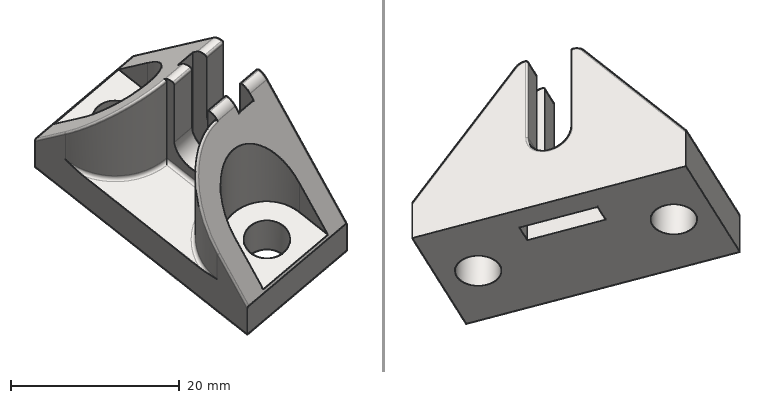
import cadquery as cq
import math

length = 35.0
width = 17.0
height = 22.98
end_height = 5.66
half_length = length / 2
half_width = width / 2

flank_angle = math.radians(51.8)
crest_half_length = half_length - (height - end_height) / math.tan(flank_angle)
crest_radius = 1.67
edge_radius = 0.25

hole_spacing = 25.0
hole_diameter = 5.5
seat_radius = 5.5
seat_floor = 6.0
hole_x = hole_spacing / 2

recess_floor = 6.0
recess_fillet = 0.5
boss_radius = half_width
web_half_width = hole_x - boss_radius

slot_width = 5.5
slot_center_z = 11.0
mouth_radius = 0.3

plate_slot_length = 10.0
plate_slot_width = 2.5
plate_slot_back_gap = 3.0

clearance = 1.0
tolerance = 0.01


def make_body():
    """Full-width block with two flanks rising to a narrow flat crest."""
    return (
        cq.Workplane("XZ", origin=(0, half_width, 0))
        .moveTo(-half_length, 0)
        .lineTo(half_length, 0)
        .lineTo(half_length, end_height)
        .lineTo(crest_half_length, height)
        .lineTo(-crest_half_length, height)
        .lineTo(-half_length, end_height)
        .close()
        .extrude(width)
    )


def make_front_recess():
    """Cutter bounded by the web face and the round outsides of the seat walls."""
    diagonal = boss_radius * math.sqrt(0.5)
    front_y = -half_width - clearance
    cutter = (
        cq.Workplane("XY", origin=(0, 0, recess_floor))
        .moveTo(-web_half_width, 0)
        .lineTo(web_half_width, 0)
        .threePointArc((hole_x - diagonal, -diagonal), (hole_x, -boss_radius))
        .lineTo(hole_x, front_y)
        .lineTo(-hole_x, front_y)
        .lineTo(-hole_x, -boss_radius)
        .threePointArc((-hole_x + diagonal, -diagonal), (-web_half_width, 0))
        .close()
        .extrude(height)
    )
    web_and_wall_edges = cq.selectors.BoxSelector(
        (-hole_x, -half_width + clearance, recess_floor - clearance),
        (hole_x, clearance, recess_floor + clearance),
    )
    return cutter.faces("<Z").edges(web_and_wall_edges).fillet(recess_fillet)


def make_rod_slot():
    """Round-bottomed slot through the web, open at the top."""
    bottom = (
        cq.Workplane("XZ", origin=(0, half_width + clearance, 0))
        .center(0, slot_center_z)
        .circle(slot_width / 2)
        .extrude(width + 2 * clearance)
    )
    opening = cq.Workplane("XY", origin=(0, 0, slot_center_z)).box(
        slot_width, width + 2 * clearance, height, centered=(True, True, False)
    )
    return bottom.union(opening)


def make_plate_slot():
    """Rectangular slot across the web, through the full height."""
    center_y = half_width - plate_slot_back_gap - plate_slot_width / 2
    return cq.Workplane("XY", origin=(0, center_y, 0)).box(
        plate_slot_length, plate_slot_width, 2 * height + clearance
    )


def make_screw_seat(side):
    """Screw hole and its seat, open toward the block end; side is -1 or +1."""
    center_x = side * hole_x
    opening_length = half_length - hole_x + clearance
    seat = (
        cq.Workplane("XY", origin=(center_x, 0, seat_floor))
        .circle(seat_radius)
        .extrude(height)
    )
    opening = cq.Workplane(
        "XY", origin=(center_x + side * opening_length / 2, 0, seat_floor)
    ).box(opening_length, 2 * seat_radius, height, centered=(True, True, False))
    hole = cq.Workplane("XY", origin=(center_x, 0, 0)).circle(hole_diameter / 2).extrude(height)
    return seat.union(opening).union(hole)


def select_edges(body, corner_a, corner_b):
    """Edges that do not run vertically and whose centers lie in the given box."""
    return body.edges("not |Z").edges(cq.selectors.BoxSelector(corner_a, corner_b))


def round_crest(body):
    """Round the shoulders where the crest meets the flanks."""
    shoulders = select_edges(
        body,
        (-crest_half_length - tolerance, tolerance, height - tolerance),
        (crest_half_length + tolerance, half_width - tolerance, height + tolerance),
    )
    return shoulders.edges("|Y").fillet(crest_radius)


def round_slot_mouth(body):
    """Round the two straight top edges of the rod slot."""
    mouth_edges = select_edges(
        body,
        (-slot_width / 2 - tolerance, -half_width, height - tolerance),
        (slot_width / 2 + tolerance, half_width - tolerance, height + tolerance),
    )
    return mouth_edges.fillet(mouth_radius)


def round_wall_tops(body):
    """Round the flank edges along the front and the curved tops of the seat walls."""
    wall_edges = select_edges(
        body,
        (-half_length, -half_width - tolerance, recess_floor + clearance),
        (half_length, -tolerance, height - tolerance),
    )
    return wall_edges.fillet(edge_radius)


def round_back_outline(body):
    """Round the back edges of the flanks, the crest and the rod slot."""
    back_edges = body.edges(
        cq.selectors.BoxSelector(
            (-half_length, half_width - tolerance, end_height + tolerance),
            (half_length, half_width + tolerance, height + tolerance),
        )
    )
    return back_edges.fillet(edge_radius)


result = make_body().cut(make_front_recess())
result = round_wall_tops(result)
result = round_crest(result)
result = result.cut(make_rod_slot())
result = round_slot_mouth(result)
result = round_back_outline(result)
result = result.cut(make_plate_slot())
for seat_side in (-1, 1):
    result = result.cut(make_screw_seat(seat_side))